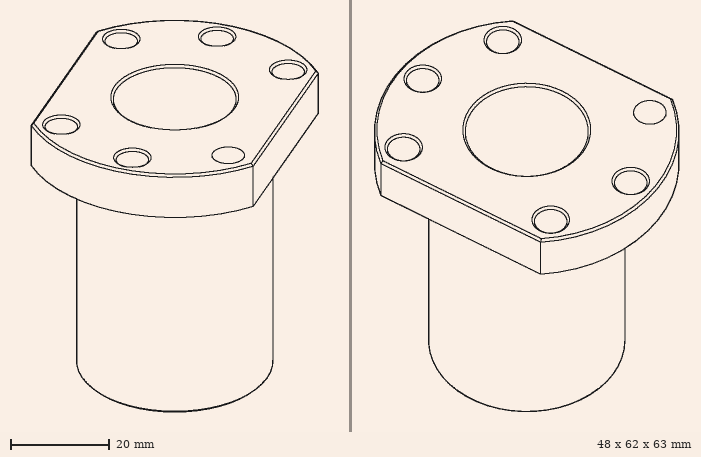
import cadquery as cq
import math

total_height = 63.0
flange_thickness = 10.0
flange_diameter = 62.0
flange_width = 48.0
body_diameter = 40.0
bore_diameter = 25.0
edge_chamfer = 0.5

bolt_hole_diameter = 6.6
bolt_circle_radius = 25.5
chamfered_bolt_angles = (45, 90, 135, 225, 270)
plain_bolt_angle = 315

oil_hole_diameter = 4.0
oil_hole_depth = 10.0
oil_hole_angle = (90 + 135) / 2

flange_bottom = total_height - flange_thickness


def make_flange():
    """Disc with two parallel flats and a chamfered top edge."""
    disc = cq.Workplane("XY").circle(flange_diameter / 2).extrude(flange_thickness)
    flats = cq.Workplane("XY").box(
        flange_width, flange_diameter, flange_thickness, centered=(True, True, False)
    )
    flange = disc.intersect(flats).faces(">Z").edges().chamfer(edge_chamfer)
    return flange.translate((0, 0, flange_bottom))


def make_body():
    """Round body below the flange, chamfered at its lower end."""
    body = cq.Workplane("XY").circle(body_diameter / 2).extrude(flange_bottom)
    return body.faces("<Z").edges().chamfer(edge_chamfer)


def vertical_cutter(diameter, bottom, chamfered=True):
    """Round cutter from the given height to the top face, widened at the mouth if chamfered."""
    radius = diameter / 2
    cutter = cq.Workplane("XY").workplane(offset=bottom).circle(radius).extrude(total_height - bottom)
    if chamfered:
        mouth = (
            cq.Workplane("XY")
            .workplane(offset=total_height)
            .circle(radius + edge_chamfer)
            .workplane(offset=-edge_chamfer)
            .circle(radius)
            .loft()
        )
        cutter = cutter.union(mouth)
    return cutter


def bolt_cutter(angle, chamfered):
    """Mounting hole cutter on the bolt circle."""
    x = bolt_circle_radius * math.cos(math.radians(angle))
    y = bolt_circle_radius * math.sin(math.radians(angle))
    return vertical_cutter(bolt_hole_diameter, flange_bottom, chamfered).translate((x, y, 0))


def oil_cutter():
    """Blind radial cutter running inward from the flange rim at mid-thickness."""
    rim_radius = flange_diameter / 2
    cutter = (
        cq.Workplane("YZ")
        .workplane(offset=rim_radius - oil_hole_depth)
        .circle(oil_hole_diameter / 2)
        .extrude(oil_hole_depth)
    )
    cutter = cutter.rotate((0, 0, 0), (0, 0, 1), oil_hole_angle)
    return cutter.translate((0, 0, flange_bottom + flange_thickness / 2))


result = make_body().union(make_flange())
result = result.cut(vertical_cutter(bore_diameter, 0))
for bolt_angle in chamfered_bolt_angles:
    result = result.cut(bolt_cutter(bolt_angle, chamfered=True))
result = result.cut(bolt_cutter(plain_bolt_angle, chamfered=False))
result = result.cut(oil_cutter())